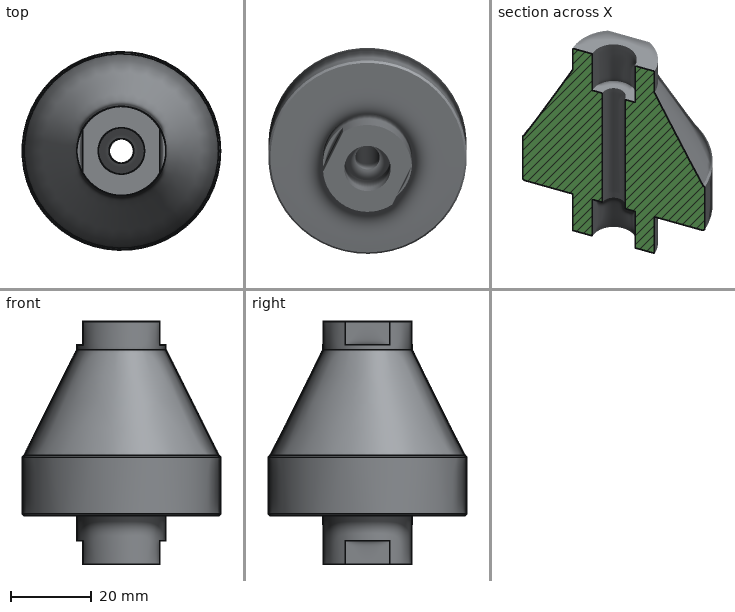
import cadquery as cq

total_height = 60.0
body_bottom = 12.0
body_top = 27.0
cone_top = 53.0

body_diameter = 49.0
neck_diameter = 22.0
bore_diameter = 6.0
port_diameter = 11.45

edge_chamfer = 0.5
port_depth = 12.0

flat_width = 19.0
flat_length = 5.8


def make_turned_body():
    """Revolve the half section: lower neck, drum, cone and upper neck."""
    neck_radius = neck_diameter / 2
    body_radius = body_diameter / 2
    chamfered_radius = body_radius - edge_chamfer
    half_section = (
        cq.Workplane("XZ")
        .moveTo(0, 0)
        .lineTo(neck_radius, 0)
        .lineTo(neck_radius, body_bottom)
        .lineTo(chamfered_radius, body_bottom)
        .lineTo(body_radius, body_bottom + edge_chamfer)
        .lineTo(body_radius, body_top - edge_chamfer)
        .lineTo(chamfered_radius, body_top)
        .lineTo(neck_radius, cone_top)
        .lineTo(neck_radius, total_height)
        .lineTo(0, total_height)
        .close()
    )
    return half_section.revolve(360, (0, 0, 0), (0, 1, 0))


def cut_wrench_flats(part, bottom):
    """Cut two parallel flats, facing -X and +X, upward from the given level."""
    cutter_size = neck_diameter
    for side in (-1, 1):
        cutter = (
            cq.Workplane("XY", origin=(side * (flat_width + cutter_size) / 2, 0, bottom))
            .rect(cutter_size, cutter_size)
            .extrude(flat_length)
        )
        part = part.cut(cutter)
    return part


def make_vertical_cylinder(diameter, bottom, height):
    """Cylinder on the Z axis, standing on the given level."""
    return cq.Workplane("XY", origin=(0, 0, bottom)).circle(diameter / 2).extrude(height)


result = make_turned_body()

for flats_bottom in (0, total_height - flat_length):
    result = cut_wrench_flats(result, flats_bottom)

result = result.cut(make_vertical_cylinder(bore_diameter, 0, total_height))
for port_bottom in (0, total_height - port_depth):
    result = result.cut(make_vertical_cylinder(port_diameter, port_bottom, port_depth))